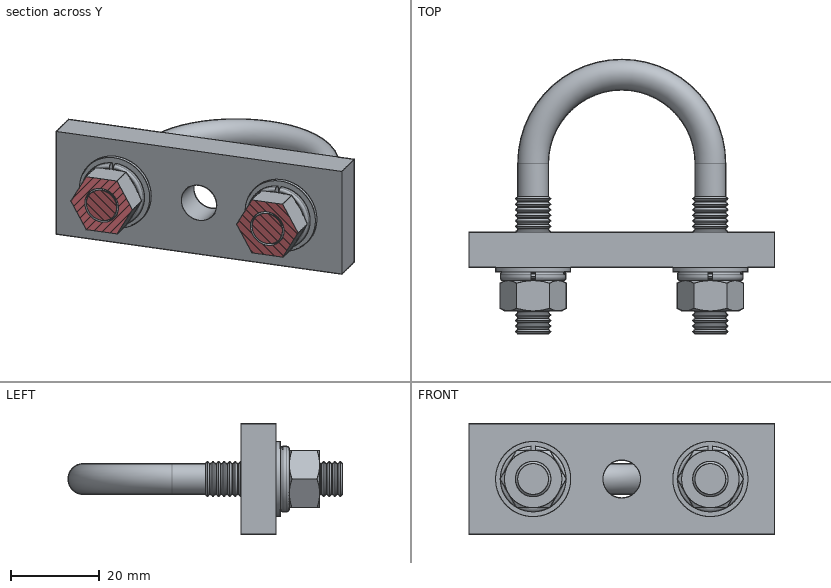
import cadquery as cq
import math


PLATE_LENGTH = 69.0
PLATE_THICKNESS = 8.0
PLATE_HEIGHT = 25.0
CENTRE_HOLE_DIAMETER = 8.5

ROD_DIAMETER = 7.0
THREAD_DIAMETER = 8.0
LEG_SPACING = 40.0
LEG_LENGTH = 38.5
LEG_PROJECTION = 15.0
THREAD_LENGTH = 31.0
THREAD_COUNT = 25
THREAD_RING_WIDTH = 1.0

WASHER_DIAMETER = 17.0
WASHER_THICKNESS = 1.0
LOCK_WASHER_DIAMETER = 14.85
LOCK_WASHER_THICKNESS = 2.0
LOCK_WASHER_FILLET = 0.6
LOCK_WASHER_GAP = 1.0
NUT_ACROSS_FLATS = 13.0
NUT_THICKNESS = 6.8
NUT_CHAMFER_ANGLE = 30.0

LEG_POSITIONS = (-LEG_SPACING / 2, LEG_SPACING / 2)
LEG_END_Y = -LEG_PROJECTION
BEND_Y = LEG_END_Y + LEG_LENGTH
LOCK_WASHER_Y = -WASHER_THICKNESS
NUT_Y = LOCK_WASHER_Y - LOCK_WASHER_THICKNESS


def workplane_at(x, y):
    """Workplane facing -Y, with its origin at (x, y, 0)."""
    return cq.Workplane("XZ", origin=(x, y, 0))


def make_plate():
    """Flat bar with a hole for each leg and one in the middle."""
    return (
        workplane_at(0, PLATE_THICKNESS)
        .rect(PLATE_LENGTH, PLATE_HEIGHT)
        .extrude(PLATE_THICKNESS)
        .faces("<Y")
        .workplane(origin=(0, 0, 0))
        .circle(CENTRE_HOLE_DIAMETER / 2)
        .pushPoints([(x, 0) for x in LEG_POSITIONS])
        .circle(THREAD_DIAMETER / 2)
        .cutThruAll()
    )


def make_leg(x):
    """Round leg whose threaded end is a row of V-shaped rings, with narrow flats between them."""
    pitch = (THREAD_LENGTH - THREAD_RING_WIDTH) / (THREAD_COUNT - 1)
    root_radius = ROD_DIAMETER / 2
    crest_radius = THREAD_DIAMETER / 2
    outline = [(0, LEG_END_Y)]
    for ring in range(THREAD_COUNT):
        ring_y = LEG_END_Y + ring * pitch
        outline.append((root_radius, ring_y))
        outline.append((crest_radius, ring_y + THREAD_RING_WIDTH / 2))
        outline.append((root_radius, ring_y + THREAD_RING_WIDTH))
    outline += [(root_radius, BEND_Y), (0, BEND_Y)]
    return cq.Workplane("XY", origin=(x, 0, 0)).polyline(outline).close().revolve(360, (0, 0), (0, 1))


def make_u_bolt():
    """Half-ring bend joined to two threaded legs."""
    bend_radius = LEG_SPACING / 2
    bolt = (
        cq.Workplane("XZ", origin=(bend_radius, BEND_Y, 0))
        .circle(ROD_DIAMETER / 2)
        .revolve(180, (-bend_radius, 0), (-bend_radius, 1))
    )
    for x in LEG_POSITIONS:
        bolt = bolt.union(make_leg(x))
    return bolt


def make_washer(x):
    """Flat washer against the plate."""
    return workplane_at(x, 0).circle(WASHER_DIAMETER / 2).circle(THREAD_DIAMETER / 2).extrude(WASHER_THICKNESS)


def make_lock_washer(x):
    """Split washer with rounded outer edges and its gap on the +Z side."""
    ring = (
        workplane_at(x, LOCK_WASHER_Y)
        .circle(LOCK_WASHER_DIAMETER / 2)
        .extrude(LOCK_WASHER_THICKNESS)
        .edges()
        .fillet(LOCK_WASHER_FILLET)
    )
    bore = workplane_at(x, LOCK_WASHER_Y).circle(THREAD_DIAMETER / 2).extrude(LOCK_WASHER_THICKNESS)
    gap = (
        workplane_at(x, LOCK_WASHER_Y)
        .rect(LOCK_WASHER_GAP, LOCK_WASHER_DIAMETER)
        .extrude(LOCK_WASHER_THICKNESS)
        .translate((0, 0, LOCK_WASHER_DIAMETER / 2))
    )
    return ring.cut(bore).cut(gap)


def make_nut(x):
    """Hexagon nut with flats facing up and down and conical chamfers on both ends."""
    corner_radius = NUT_ACROSS_FLATS / math.sqrt(3)
    face_radius = NUT_ACROSS_FLATS / 2
    chamfer_depth = (corner_radius - face_radius) * math.tan(math.radians(NUT_CHAMFER_ANGLE))
    hexagon = workplane_at(x, NUT_Y).polygon(6, 2 * corner_radius).extrude(NUT_THICKNESS)
    envelope = (
        workplane_at(x, NUT_Y)
        .circle(corner_radius)
        .extrude(NUT_THICKNESS)
        .edges()
        .chamfer(chamfer_depth, corner_radius - face_radius)
    )
    bore = workplane_at(x, NUT_Y).circle(THREAD_DIAMETER / 2).extrude(NUT_THICKNESS)
    return hexagon.intersect(envelope).cut(bore)


plate = make_plate().solids()
u_bolt = make_u_bolt().solids()
washers = [make_washer(x).solids().val() for x in LEG_POSITIONS]
lock_washers = [make_lock_washer(x).solids().val() for x in LEG_POSITIONS]
nuts = [make_nut(x).solids().val() for x in LEG_POSITIONS]

result = cq.Compound.makeCompound([plate.val(), u_bolt.val(), *washers, *lock_washers, *nuts])